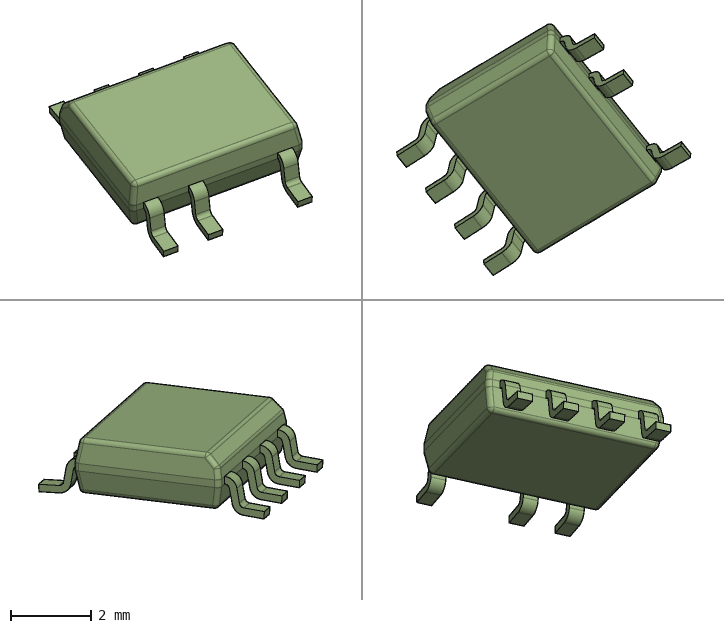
import cadquery as cq
import math

overall_length = 6.02
overall_height = 1.63
housing_x = 3.9
housing_y = 4.9
housing_z = 1.455
draft_angle = 10.0
housing_wall = housing_x / 2
housing_top = housing_z / 2
foot_bottom = housing_top - overall_height

bevel_inset = 0.375
bevel_angle = 45.0
edge_radius = 0.14

pin_pitch = 1.27
pin_width = 0.41
pin_thickness = 0.2
band_height = pin_thickness
pins_per_side = 4
missing_right_pin = 2
inner_radius = 0.13
outer_radius = inner_radius + pin_thickness
shank_slope = math.radians(80)
foot_slope = math.radians(3.5)


def tapered_half(side):
    """Half of the housing: narrows from the parting band to the top (+1) or bottom (-1)."""
    depth = (housing_z - band_height) / 2
    return (
        cq.Workplane("XY", origin=(0, 0, side * band_height / 2))
        .rect(housing_x, housing_y)
        .extrude(side * depth, taper=draft_angle)
    )


def bevel_cutter():
    """Wedge that removes the upper -X edge along the full housing length."""
    edge_x = -housing_wall + bevel_inset
    run = 2 * bevel_inset
    drop = run * math.tan(math.radians(bevel_angle))
    return (
        cq.Workplane("XZ")
        .moveTo(edge_x, housing_top)
        .lineTo(edge_x - run, housing_top - drop)
        .lineTo(edge_x - run, housing_top)
        .close()
        .extrude(housing_y, both=True)
    )


def make_housing():
    band = cq.Workplane("XY").box(housing_x, housing_y, band_height)
    block = band.union(tapered_half(1)).union(tapered_half(-1)).cut(bevel_cutter())

    tolerance = 0.0005
    rounded_edges = []
    for edge in block.edges().vals():
        is_level = edge.BoundingBox().zlen < tolerance
        at_band = abs(abs(edge.Center().z) - band_height / 2) < tolerance
        if not (is_level and at_band):
            rounded_edges.append(edge)
    return block.newObject(rounded_edges).fillet(edge_radius)


def around(centre, radius, angle):
    """Point around a bend centre, with the angle measured from straight up toward +X."""
    return (centre[0] + radius * math.sin(angle), centre[1] + radius * math.cos(angle))


def make_right_pin():
    """Pin on the +X side at mid-length, from the housing wall to the foot tip."""
    pin_top = band_height / 2
    upper = (housing_wall, pin_top - outer_radius)

    centre_gap = outer_radius + inner_radius
    bend_reach = centre_gap * math.sin(shank_slope) - inner_radius * math.sin(foot_slope)
    bend_drop = outer_radius * math.cos(foot_slope) - centre_gap * math.cos(shank_slope)
    reach = overall_length / 2 - upper[0] - bend_reach
    drop = upper[1] - foot_bottom - bend_drop
    turn = math.sin(shank_slope - foot_slope)
    shank_length = (drop * math.cos(foot_slope) - reach * math.sin(foot_slope)) / turn
    foot_length = (reach * math.sin(shank_slope) - drop * math.cos(shank_slope)) / turn

    bend_line = around(upper, centre_gap, shank_slope)
    lower = (
        bend_line[0] + shank_length * math.cos(shank_slope),
        bend_line[1] - shank_length * math.sin(shank_slope),
    )
    foot_run = foot_length * math.cos(foot_slope)
    foot_drop = foot_length * math.sin(foot_slope)
    upper_mid = shank_slope / 2
    lower_mid = (shank_slope + foot_slope) / 2

    foot_top = around(lower, -inner_radius, foot_slope)
    foot_under = around(lower, -outer_radius, foot_slope)
    outline = (
        cq.Workplane("XZ")
        .moveTo(housing_wall, pin_top)
        .threePointArc(around(upper, outer_radius, upper_mid), around(upper, outer_radius, shank_slope))
        .lineTo(*around(lower, -inner_radius, shank_slope))
        .threePointArc(around(lower, -inner_radius, lower_mid), foot_top)
        .lineTo(foot_top[0] + foot_run, foot_top[1] - foot_drop)
        .lineTo(foot_under[0] + foot_run, foot_under[1] - foot_drop)
        .lineTo(*foot_under)
        .threePointArc(around(lower, -outer_radius, lower_mid), around(lower, -outer_radius, shank_slope))
        .lineTo(*around(upper, inner_radius, shank_slope))
        .threePointArc(around(upper, inner_radius, upper_mid), (housing_wall, pin_top - pin_thickness))
        .close()
    )
    return outline.extrude(pin_width / 2, both=True)


def make_pins():
    right_pin = make_right_pin()
    left_pin = right_pin.mirror("YZ")
    pins = []
    for position in range(pins_per_side):
        pin_y = (position - (pins_per_side - 1) / 2) * pin_pitch
        pins.append(left_pin.translate((0, pin_y, 0)).val())
        if position != missing_right_pin:
            pins.append(right_pin.translate((0, pin_y, 0)).val())
    return pins


housing = make_housing()
pins = make_pins()
result = cq.Compound.makeCompound([housing.val(), *pins])